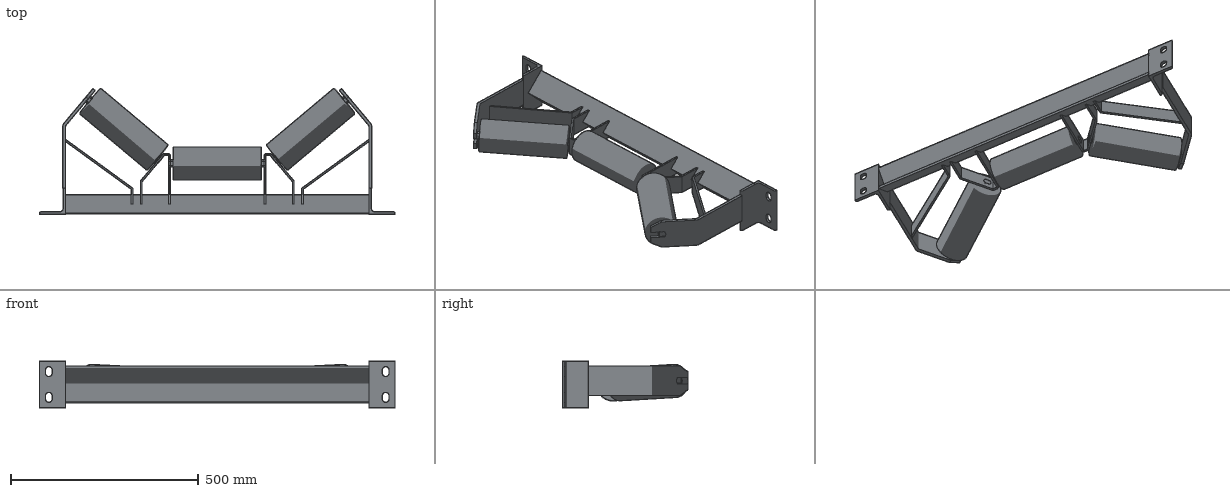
import cadquery as cq
import math


leg = 70.0
angle_thickness = 7.0
root_radius = 9.0
toe_radius = 4.5

overall_length = 950.0
overall_height = 335.95
foot_height = 125.0
beam_half_length = overall_length / 2 - leg
mid_z = foot_height / 2

beam_clearance = 0.4
toe_corner_loss = toe_radius * (math.sqrt(2) - 1)
beam_apex_y = (leg + angle_thickness) / math.sqrt(2) - toe_corner_loss + beam_clearance

slot_width = 17.5
slot_length = 26.0
slot_spacing = 69.0
slot_edge_distance = 25.0

trough_angle = 40.0
arm_thickness = 8.0
arm_width = 80.0
arm_mid_z = mid_z + 10.0
arm_inner_radius = 8.0
arm_tip_length = 120.0
arm_tip_chamfer_width = 16.0
arm_tip_chamfer_length = 29.0
arm_slot_length = 24.0

strip_thickness = 5.0
strip_width = 50.0
strip_foot_y = 20.0
bracket_inner_x = 125.0
bracket_outer_x = 205.5
bracket_top_y = 162.5
bracket_knee_y = 89.0
bracket_bend_radius = 7.0
brace_inner_x = 225.0
brace_knee_y = 69.5
brace_angle = 36.0

roller_diameter = 89.0
roller_length = 236.0
roller_edge_radius = 3.0
centre_roller_y = 136.0
side_roller_x = 249.6
side_roller_y = 227.2
shaft_diameter = 20.0
shaft_flat_width = 16.5
centre_shaft_length = 2 * (bracket_inner_x + strip_thickness)
side_shaft_inner_reach = 128.0
side_shaft_outer_reach = 133.0

sin_trough = math.sin(math.radians(trough_angle))
cos_trough = math.cos(math.radians(trough_angle))


def mirrored(body):
    """Copy of a left-hand body on the right-hand side."""
    return body.mirror("YZ")


def angle_section():
    """Rolled angle with its outer corner at the origin and its legs along +X and +Y."""
    toe_flat = angle_thickness - toe_radius
    root = angle_thickness + root_radius
    toe_arc = toe_radius * (1 - math.sqrt(0.5))
    root_arc = root - root_radius * math.sqrt(0.5)
    return (
        cq.Sketch()
        .segment((0, 0), (leg, 0))
        .segment((leg, toe_flat))
        .arc((leg - toe_arc, angle_thickness - toe_arc), (leg - toe_radius, angle_thickness))
        .segment((root, angle_thickness))
        .arc((root_arc, root_arc), (angle_thickness, root))
        .segment((angle_thickness, leg - toe_radius))
        .arc((angle_thickness - toe_arc, leg - toe_arc), (toe_flat, leg))
        .segment((0, leg))
        .close()
        .assemble()
    )


def strip(outline, bottom_z, width):
    """Plate of closed XY outline, standing in Z."""
    return cq.Workplane("XY").workplane(offset=bottom_z).polyline(outline).close().extrude(width)


def beam():
    """Angle lying with its apex towards +Y and its legs opening towards -Y."""
    return (
        cq.Workplane("XY")
        .placeSketch(angle_section())
        .extrude(2 * beam_half_length)
        .rotate((0, 0, 0), (0, 0, 1), -135)
        .rotate((0, 0, 0), (0, 1, 0), 90)
        .translate((-beam_half_length, beam_apex_y, mid_z))
    )


def beam_core():
    """Space taken up by the beam and the hollow between its legs."""
    return (
        cq.Workplane("YZ")
        .workplane(offset=-beam_half_length)
        .polyline([(beam_apex_y, mid_z), (beam_apex_y - leg, mid_z + leg), (beam_apex_y - leg, mid_z - leg)])
        .close()
        .extrude(2 * beam_half_length)
    )


def bracket():
    """Left inner bracket: folded strip between the centre roller and the left roller."""
    slope_run = (bracket_top_y - bracket_knee_y) * sin_trough / cos_trough
    inner_x = -bracket_inner_x
    outer_x = -bracket_outer_x
    top_x = outer_x + slope_run
    half_bend = math.radians(trough_angle / 2)
    knee_drop = strip_thickness * math.tan(half_bend)
    top_shift = strip_thickness * math.tan(math.radians(90 - trough_angle) / 2)
    low_y = bracket_top_y - strip_thickness
    outline = [
        (inner_x, strip_foot_y),
        (inner_x, bracket_top_y),
        (top_x, bracket_top_y),
        (outer_x, bracket_knee_y),
        (outer_x, strip_foot_y),
        (outer_x + strip_thickness, strip_foot_y),
        (outer_x + strip_thickness, bracket_knee_y - knee_drop),
        (top_x + top_shift, low_y),
        (inner_x - strip_thickness, low_y),
        (inner_x - strip_thickness, strip_foot_y),
    ]
    plate = strip(outline, mid_z - strip_width / 2, strip_width)
    corner = cq.selectors.NearestToPointSelector((inner_x, bracket_top_y, mid_z))
    return plate.edges("|Z").edges(corner).fillet(bracket_bend_radius)


def brace():
    """Left brace: bent strip from the beam up to the arm."""
    rise = math.tan(math.radians(brace_angle))
    inner_x = -brace_inner_x
    lower_drop = strip_thickness * math.tan(math.radians(90 - brace_angle) / 2)
    lower_knee = (inner_x - strip_thickness, brace_knee_y - lower_drop)
    outline = [
        (inner_x, strip_foot_y),
        (inner_x, brace_knee_y),
        (-beam_half_length, brace_knee_y + (beam_half_length - brace_inner_x) * rise),
        (-beam_half_length, lower_knee[1] + (beam_half_length + lower_knee[0]) * rise),
        lower_knee,
        (inner_x - strip_thickness, strip_foot_y),
    ]
    return strip(outline, mid_z - strip_width / 2, strip_width)


def foot():
    """Left foot: short upright angle with two slots in its base leg."""
    slot_x = -overall_length / 2 + slot_edge_distance
    slots = (
        cq.Workplane("XZ", origin=(slot_x, 0, mid_z))
        .pushPoints([(0, slot_spacing / 2), (0, -slot_spacing / 2)])
        .slot2D(slot_length, slot_width, 90)
        .extrude(-angle_thickness)
    )
    return (
        cq.Workplane("XY")
        .placeSketch(angle_section())
        .extrude(foot_height)
        .mirror("YZ")
        .translate((-beam_half_length, 0, 0))
        .cut(slots)
    )


def arm():
    """Left arm: strip bent towards the trough, with a tapered tip."""
    inner_x = -beam_half_length
    outer_x = inner_x - arm_thickness
    outer_radius = arm_inner_radius + arm_thickness
    bend_x = inner_x + arm_inner_radius
    bend_y = overall_height - arm_tip_length * cos_trough - outer_radius * sin_trough

    def bend_point(radius, degrees):
        turn = math.radians(degrees)
        return (bend_x - radius * math.cos(turn), bend_y + radius * math.sin(turn))

    def tip_point(radius):
        x, y = bend_point(radius, trough_angle)
        return (x + arm_tip_length * sin_trough, y + arm_tip_length * cos_trough)

    plate = (
        cq.Workplane("XY")
        .workplane(offset=arm_mid_z - arm_width / 2)
        .moveTo(inner_x, leg)
        .lineTo(outer_x, leg)
        .lineTo(outer_x, bend_y)
        .threePointArc(bend_point(outer_radius, trough_angle / 2), bend_point(outer_radius, trough_angle))
        .lineTo(*tip_point(outer_radius))
        .lineTo(*tip_point(arm_inner_radius))
        .lineTo(*bend_point(arm_inner_radius, trough_angle))
        .threePointArc(bend_point(arm_inner_radius, trough_angle / 2), bend_point(arm_inner_radius, 0))
        .close()
        .extrude(arm_width)
    )
    tip_x, tip_y = tip_point(outer_radius)
    tip_plane = cq.Plane(
        origin=(tip_x, tip_y, arm_mid_z),
        xDir=(-sin_trough, -cos_trough, 0),
        normal=(-cos_trough, sin_trough, 0),
    )
    for side in (1, -1):
        edge = side * arm_width / 2
        corner = [(0, edge), (arm_tip_chamfer_length, edge), (0, edge - side * arm_tip_chamfer_width)]
        plate = plate.cut(cq.Workplane(tip_plane).polyline(corner).close().extrude(-arm_thickness))
    return plate, tip_plane


def shaft(start, end):
    """Round bar along X with two flats facing +Z and -Z."""
    flats = cq.Workplane("XY").box(end - start, shaft_diameter, shaft_flat_width)
    bar = cq.Workplane("YZ").workplane(offset=start).circle(shaft_diameter / 2).extrude(end - start)
    return bar.intersect(flats.translate(((start + end) / 2, 0, 0)))


def roller_drum():
    """Solid roller drum with rounded ends, centred on the origin along X."""
    return (
        cq.Workplane("YZ")
        .workplane(offset=-roller_length / 2)
        .circle(roller_diameter / 2)
        .extrude(roller_length)
        .faces("<X or >X")
        .edges()
        .fillet(roller_edge_radius)
    )


def place_left(body):
    """Tilt a body lying along X into the left wing of the trough, its outer end raised in Y and Z."""
    wing_length = side_shaft_inner_reach + side_shaft_outer_reach
    forward_tilt = math.degrees(math.asin((arm_mid_z - mid_z) / wing_length))
    return (
        body.rotate((0, 0, 0), (0, 1, 0), forward_tilt)
        .rotate((0, 0, 0), (0, 0, 1), -trough_angle)
        .translate((-side_roller_x, side_roller_y, (mid_z + arm_mid_z) / 2))
    )


centre_shaft = shaft(-centre_shaft_length / 2, centre_shaft_length / 2)
centre_shaft = centre_shaft.translate((0, centre_roller_y, mid_z))
centre_roller = roller_drum().translate((0, centre_roller_y, mid_z)).union(centre_shaft)
left_shaft = place_left(shaft(-side_shaft_outer_reach, side_shaft_inner_reach))
left_roller = place_left(roller_drum()).union(left_shaft)

left_arm, arm_tip_plane = arm()
arm_slot = (
    cq.Workplane(arm_tip_plane)
    .rect(2 * arm_slot_length, shaft_flat_width)
    .extrude(-arm_thickness)
)
left_arm = left_arm.cut(arm_slot).cut(left_shaft)

left_strips = bracket().cut(left_shaft).cut(centre_shaft).union(brace()).cut(beam_core())
cross_frame = beam().union(left_strips).union(mirrored(left_strips))

left_foot = foot()

result = cq.Compound.makeCompound([
    cross_frame.val(),
    centre_roller.val(),
    *[side.val() for body in (left_roller, left_arm, left_foot) for side in (body, mirrored(body))],
])